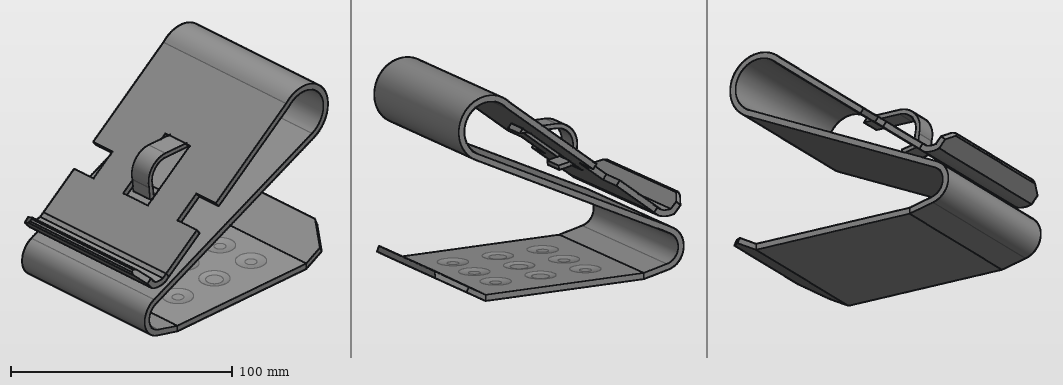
import cadquery as cq
import math


width = 79.2
half_width = width / 2
thickness = 3.0
cutter_overshoot = thickness
cutter_reach = 2 * thickness

base_length = 81.8
dish_pitch_x = 20.0
dish_pitch_y = 23.2
dish_middle_y = 42.7
dish_radius = 7.1
dish_depth = 0.55
outer_floor_radius = 2.7
middle_floor_radius = 4.0

tongue_tip_y = 101.0
tongue_tip_z = 10.4
tongue_tip_rake = 0.5
tongue_corner_length = 11.6
tongue_corner_width = 13.5

hoop_centre = (80.2, 80.5)
hoop_radius = 15.5
hoop_inner_radius = hoop_radius - thickness
hoop_end_angle = 136.3
bend_centre = (-10.3, 13.0)
bend_radius = 10.4
bend_inner_radius = bend_radius - thickness
plate_front = (-7.1, 32.9)

opening_front_y = 12.4
notch_back_y = 24.4
notch_depth = 12.5
slot_back_y = 39.1
slot_width = 15.8

lip_flat = 2.6
lip_valley_y = -11.6
lip_top_valley_z = 30.9
lip_bottom_valley_z = 28.0
lip_inner_rise = (-14.0, 31.1)
lip_outer_fall = (-7.7, 28.7)
lip_outer_rise = (-15.8, 28.6)
lip_tip = (-20.0, 37.8)
lip_tip_chamfer = 0.9
lip_corner_length = 4.8
lip_left_corner_width = 6.1
lip_right_corner_width = 7.6

hook_width = 10.8
hook_offset_x = -0.2
hook_thickness = 2.2
hook_bend_centre = (26.4, 57.5)
hook_radius = 10.8
hook_inner_radius = hook_radius - hook_thickness
hook_end_y = 43.8
hook_bend_end_angle = 196.5
hook_outer_corner = (16.4, 48.2)
hook_inner_corner = (18.9, 49.8)
hook_tab_length = 6.5
hook_tab_angle = 10.5


def polar(centre, radius, degrees):
    angle = math.radians(degrees)
    return (centre[0] + radius * math.cos(angle), centre[1] + radius * math.sin(angle))


def shifted(point, direction, distance):
    return (point[0] + distance * direction[0], point[1] + distance * direction[1])


def unit_between(start, end):
    length = math.dist(start, end)
    return ((end[0] - start[0]) / length, (end[1] - start[1]) / length)


def across_width(profile, body_width=width):
    """Extrude a closed (y, z) profile evenly to both sides of X = 0."""
    return profile.close().extrude(body_width / 2, both=True)


def cut_tip_corners(body, tip, direction, length, left_width, right_width):
    """Cut both corners off a flap, square to the sheet, given its tip point and outward direction."""
    plane = cq.Plane(
        origin=(0, tip[0], tip[1]),
        xDir=(1, 0, 0),
        normal=(0, -direction[1], direction[0]),
    )
    for side, corner_width in ((-1, left_width), (1, right_width)):
        slope = corner_width / length
        corner = (
            cq.Workplane(plane)
            .moveTo(side * half_width, -length)
            .lineTo(side * (half_width - corner_width - cutter_overshoot * slope), cutter_overshoot)
            .lineTo(side * half_width, cutter_overshoot)
            .close()
            .extrude(cutter_reach, both=True)
        )
        body = body.cut(corner)
    return body


hoop_upper_end = polar(hoop_centre, hoop_radius, hoop_end_angle)
plate_down = unit_between(hoop_upper_end, plate_front)
plate_up_normal = (plate_down[1], -plate_down[0])
plate_front_under = shifted(plate_front, plate_up_normal, -thickness)


def make_base():
    base = cq.Workplane("XY").box(width, base_length, thickness, centered=(True, False, False))
    for row in (-1, 0, 1):
        floor_radius = middle_floor_radius if row == 0 else outer_floor_radius
        for column in (-1, 0, 1):
            place = (column * dish_pitch_x, dish_middle_y + row * dish_pitch_y, 0)
            base = base.cut(make_dish(floor_radius).translate(place))
    return base


def make_dish(floor_radius):
    """Flat-floored dish whose wall curves up tangent from the floor to the rim."""
    floor_z = thickness - dish_depth
    wall_run = dish_radius - floor_radius
    wall_radius = (wall_run**2 + dish_depth**2) / (2 * dish_depth)
    wall_sweep = math.degrees(math.asin(wall_run / wall_radius))
    wall_centre = (floor_radius, floor_z + wall_radius)
    return (
        cq.Workplane("XZ")
        .moveTo(0, thickness)
        .lineTo(dish_radius, thickness)
        .threePointArc(polar(wall_centre, wall_radius, -90 + wall_sweep / 2), (floor_radius, floor_z))
        .lineTo(0, floor_z)
        .close()
        .revolve(360, (0, 0, 0), (0, 1, 0))
    )


def make_tongue():
    tip_top = (tongue_tip_y - tongue_tip_rake, tongue_tip_z + thickness)
    tongue = across_width(
        cq.Workplane("YZ")
        .moveTo(base_length, 0)
        .lineTo(tongue_tip_y, tongue_tip_z)
        .lineTo(*tip_top)
        .lineTo(base_length, thickness)
    )
    direction = unit_between((base_length, thickness), tip_top)
    return cut_tip_corners(
        tongue, tip_top, direction, tongue_corner_length, tongue_corner_width, tongue_corner_width
    )


def make_spring():
    centre_angle = math.atan2(hoop_centre[1] - bend_centre[1], hoop_centre[0] - bend_centre[0])
    centre_distance = math.dist(hoop_centre, bend_centre)
    plate_angle = math.degrees(
        centre_angle - math.asin((hoop_inner_radius + bend_radius) / centre_distance)
    )
    leg_angle = math.degrees(
        math.atan2(bend_centre[1], -bend_centre[0])
        - math.asin(bend_radius / math.hypot(*bend_centre))
    )
    hoop_lower_angle = plate_angle + 270
    bend_upper_angle = plate_angle + 90
    bend_lower_angle = 270 - leg_angle
    hoop_middle = (hoop_end_angle + hoop_lower_angle - 360) / 2
    bend_middle = (bend_upper_angle + bend_lower_angle) / 2

    spring = across_width(
        cq.Workplane("YZ")
        .moveTo(*plate_front)
        .lineTo(*hoop_upper_end)
        .threePointArc(
            polar(hoop_centre, hoop_radius, hoop_middle),
            polar(hoop_centre, hoop_radius, hoop_lower_angle),
        )
        .lineTo(*polar(bend_centre, bend_inner_radius, bend_upper_angle))
        .threePointArc(
            polar(bend_centre, bend_inner_radius, bend_middle),
            polar(bend_centre, bend_inner_radius, bend_lower_angle),
        )
        .lineTo(0, thickness)
        .lineTo(0, 0)
        .lineTo(*polar(bend_centre, bend_radius, bend_lower_angle))
        .threePointArc(
            polar(bend_centre, bend_radius, bend_middle),
            polar(bend_centre, bend_radius, bend_upper_angle),
        )
        .lineTo(*polar(hoop_centre, hoop_inner_radius, hoop_lower_angle))
        .threePointArc(
            polar(hoop_centre, hoop_inner_radius, hoop_middle),
            shifted(hoop_upper_end, plate_up_normal, -thickness),
        )
        .lineTo(*plate_front_under)
    )
    spring = spring.cut(make_plate_opening(0, slot_width, slot_back_y))
    for side in (-1, 1):
        spring = spring.cut(make_plate_opening(side * half_width, 2 * notch_depth, notch_back_y))
    return spring


def make_plate_opening(centre_x, opening_width, back_y):
    """Cutter square to the upper plate, between two Y positions on its top face."""
    slope = plate_down[1] / plate_down[0]
    middle_y = (opening_front_y + back_y) / 2
    middle_z = plate_front[1] + (middle_y - plate_front[0]) * slope
    length = (back_y - opening_front_y) / abs(plate_down[0])
    plane = cq.Plane(
        origin=(centre_x, middle_y, middle_z),
        xDir=(1, 0, 0),
        normal=(0, *plate_up_normal),
    )
    return cq.Workplane(plane).rect(opening_width, length).extrude(cutter_reach, both=True)


def make_lip():
    direction = unit_between(lip_inner_rise, lip_tip)
    outward = (-direction[1], direction[0])
    tip_under = shifted(lip_tip, outward, thickness)
    lip = across_width(
        cq.Workplane("YZ")
        .moveTo(*plate_front)
        .lineTo(*shifted(plate_front, plate_down, lip_flat))
        .threePointArc((lip_valley_y, lip_top_valley_z), lip_inner_rise)
        .lineTo(*shifted(lip_tip, direction, -lip_tip_chamfer))
        .lineTo(*shifted(lip_tip, outward, lip_tip_chamfer))
        .lineTo(*shifted(lip_tip, outward, thickness - lip_tip_chamfer))
        .lineTo(*shifted(tip_under, direction, -lip_tip_chamfer))
        .lineTo(*lip_outer_rise)
        .threePointArc((lip_valley_y, lip_bottom_valley_z), lip_outer_fall)
        .lineTo(*plate_front_under)
    )
    return cut_tip_corners(
        lip, lip_tip, direction, lip_corner_length, lip_left_corner_width, lip_right_corner_width
    )


def make_hook():
    top_z = hook_bend_centre[1] + hook_radius
    under_z = top_z - hook_thickness
    end_shift = hook_thickness * abs(plate_up_normal[0]) / plate_up_normal[1]
    tab_direction = polar((0, 0), 1, -hook_tab_angle)
    tab_end = shifted(hook_inner_corner, tab_direction, hook_tab_length)
    tab_end_under = shifted(tab_end, (tab_direction[1], -tab_direction[0]), hook_thickness)
    middle_angle = (90 + hook_bend_end_angle) / 2
    hook = across_width(
        cq.Workplane("YZ")
        .moveTo(hook_end_y, top_z)
        .lineTo(hook_bend_centre[0], top_z)
        .threePointArc(
            polar(hook_bend_centre, hook_radius, middle_angle),
            polar(hook_bend_centre, hook_radius, hook_bend_end_angle),
        )
        .lineTo(*hook_outer_corner)
        .lineTo(*tab_end_under)
        .lineTo(*tab_end)
        .lineTo(*hook_inner_corner)
        .lineTo(*polar(hook_bend_centre, hook_inner_radius, hook_bend_end_angle))
        .threePointArc(
            polar(hook_bend_centre, hook_inner_radius, middle_angle),
            (hook_bend_centre[0], under_z),
        )
        .lineTo(hook_end_y + end_shift, under_z),
        hook_width,
    )
    return hook.translate((hook_offset_x, 0, 0))


base = make_base()
tongue = make_tongue()
lip = make_lip()
hook = make_hook()
spring = make_spring().cut(hook)

result = cq.Compound.makeCompound(
    [body.solids().val() for body in (base, tongue, spring, lip, hook)]
)